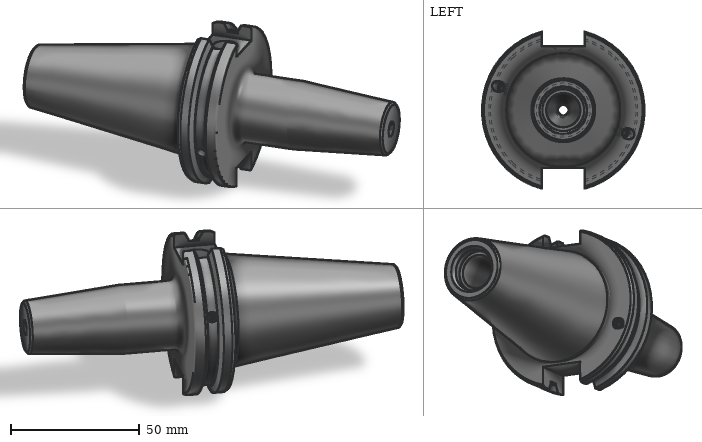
import cadquery as cq
import math

length = 148.2

taper_end = 67.9
taper_radius = 22.2
taper_slope = 7 / 48
nose_chamfer = 0.7
neck_start = 69.8
neck_radius = 21.8
neck_fillet = 0.3
nose_radius = taper_radius - taper_slope * taper_end

flange_start = 71.0
flange_width = 16.2
flange_diameter = 63.3
flange_radius = flange_diameter / 2
flange_end = flange_start + flange_width
back_chamfer_length = 1.3
back_chamfer_height = 0.7
front_round = 0.9
groove_centre = 79.3
groove_floor_width = 4.2
groove_radius = 28.3
groove_flank_radius = 29.0
groove_flank_angle = 30
groove_floor_half = groove_floor_width / 2
groove_top_half = groove_floor_half + (flange_radius - groove_flank_radius) * math.tan(
    math.radians(groove_flank_angle)
)

shank_radius = 13.5
shank_fillet = 3.3
shank_cone_start = 110.0
shank_tip_radius = 10.5
tip_chamfer = 0.9

slot_width = 16.6
upper_slot_floor = 24.9
lower_slot_floor = 22.5
dimple_diameter = 9.5
dimple_tip_angle = 118

mouth_radius = 9.2
thread_radius = 8.2
mouth_depth = 1.8
thread_depth = 4.7
bore_radius = 6.7
bore_depth = 29.6
bore_tip_angle = 118
through_radius = 2.1
tool_bore_diameter = 6.0
tool_bore_depth = 35.6

port_angle = 20
port_radius = 27.0
port_tilt = 30
port_diameter = 4.2
port_depth = 3.7
feed_diameter = 2.5
cross_hole_diameter = 4.0
cross_hole_depth = 6.7


def cone_depth(radius, tip_angle):
    """Height of a drill-point cone with the given base radius."""
    return radius / math.tan(math.radians(tip_angle / 2))


def make_body():
    corner = math.sqrt(0.5)
    outline = (
        cq.Workplane("XY")
        .lineTo(0, nose_radius - nose_chamfer)
        .lineTo(nose_chamfer, nose_radius + taper_slope * nose_chamfer)
        .lineTo(taper_end, taper_radius)
        .lineTo(neck_start, neck_radius)
        .lineTo(flange_start - neck_fillet, neck_radius)
        .threePointArc(
            (flange_start - neck_fillet * (1 - corner), neck_radius + neck_fillet * (1 - corner)),
            (flange_start, neck_radius + neck_fillet),
        )
        .lineTo(flange_start, flange_radius - back_chamfer_height)
        .lineTo(flange_start + back_chamfer_length, flange_radius)
        .lineTo(groove_centre - groove_top_half, flange_radius)
        .lineTo(groove_centre - groove_floor_half, groove_flank_radius)
        .lineTo(groove_centre - groove_floor_half, groove_radius)
        .lineTo(groove_centre + groove_floor_half, groove_radius)
        .lineTo(groove_centre + groove_floor_half, groove_flank_radius)
        .lineTo(groove_centre + groove_top_half, flange_radius)
        .lineTo(flange_end - front_round, flange_radius)
        .threePointArc(
            (flange_end - front_round * (1 - corner), flange_radius - front_round * (1 - corner)),
            (flange_end, flange_radius - front_round),
        )
        .lineTo(flange_end, shank_radius + shank_fillet)
        .threePointArc(
            (flange_end + shank_fillet * (1 - corner), shank_radius + shank_fillet * (1 - corner)),
            (flange_end + shank_fillet, shank_radius),
        )
        .lineTo(shank_cone_start, shank_radius)
        .lineTo(length - tip_chamfer, shank_tip_radius)
        .lineTo(length, shank_tip_radius - tip_chamfer)
        .lineTo(length, 0)
        .close()
    )
    return outline.revolve(360, (0, 0, 0), (1, 0, 0))


def make_axial_bores():
    tip = cone_depth(bore_radius - through_radius, bore_tip_angle)
    drawbar_bore = (
        cq.Workplane("XY")
        .lineTo(0, mouth_radius)
        .lineTo(mouth_depth, thread_radius)
        .lineTo(thread_depth, thread_radius)
        .lineTo(thread_depth, bore_radius)
        .lineTo(bore_depth, bore_radius)
        .lineTo(bore_depth + tip, through_radius)
        .lineTo(length, through_radius)
        .lineTo(length, 0)
        .close()
        .revolve(360, (0, 0, 0), (1, 0, 0))
    )
    tool_bore = (
        cq.Workplane("YZ", origin=(length - tool_bore_depth, 0, 0))
        .circle(tool_bore_diameter / 2)
        .extrude(tool_bore_depth)
    )
    return drawbar_bore.union(tool_bore)


def make_drive_slot(floor, side):
    """Slot across the flange above (side = 1) or below (side = -1) the axis."""
    height = flange_radius - floor
    return cq.Workplane("XY").box(flange_width, slot_width, height).translate(
        (flange_start + flange_width / 2, 0, side * (floor + height / 2))
    )


def make_dimple():
    radius = dimple_diameter / 2
    return cq.Workplane(
        cq.Solid.makeCone(
            radius,
            0,
            cone_depth(radius, dimple_tip_angle),
            cq.Vector(groove_centre, 0, upper_slot_floor),
            cq.Vector(0, 0, -1),
        )
    )


def make_coolant_port():
    """Stepped hole sloping inwards to a radial hole in the groove floor, built on +Y."""
    tilt = math.radians(port_tilt)
    inwards = cq.Vector(math.cos(tilt), -math.sin(tilt), 0)
    entry = cq.Vector(flange_start, port_radius, 0)
    lead_in = port_diameter
    feed_length = (groove_centre - flange_start) / math.cos(tilt)
    pocket = cq.Solid.makeCylinder(
        port_diameter / 2, lead_in + port_depth, entry - inwards * lead_in, inwards
    )
    feed = cq.Solid.makeCylinder(feed_diameter / 2, feed_length, entry, inwards)
    cross_hole = (
        cq.Workplane("XZ", origin=(groove_centre, flange_radius, 0))
        .circle(cross_hole_diameter / 2)
        .extrude(flange_radius - groove_radius + cross_hole_depth)
    )
    return cross_hole.union(cq.Workplane(pocket)).union(cq.Workplane(feed))


result = make_body().cut(make_axial_bores())
result = result.cut(make_drive_slot(upper_slot_floor, 1))
result = result.cut(make_drive_slot(lower_slot_floor, -1))
result = result.cut(make_dimple())
for turn in (0, 180):
    result = result.cut(make_coolant_port().rotate((0, 0, 0), (1, 0, 0), port_angle + turn))